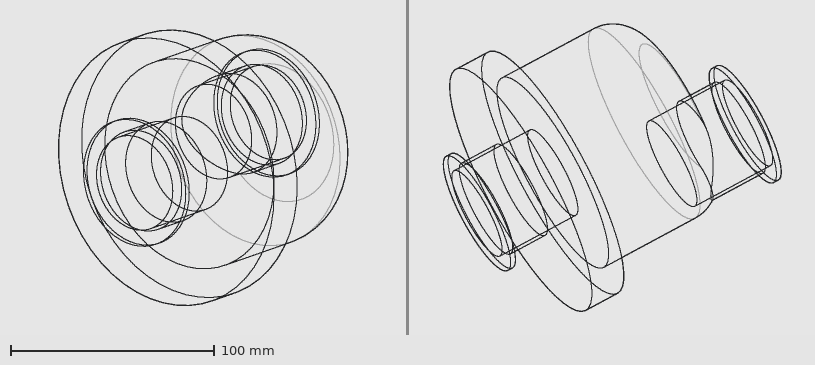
import cadquery as cq

total_length = 140.0
flange_diameter = 135.0
flange_thickness = 18.5
body_diameter = 106.0
body_length = 70.8
dome_radius = 18.2
rear_port_offset = -26.2

tube_diameter = 50.8
ferrule_diameter = 64.0
bore_diameter = 47.7
rim_thickness = 2.8
cone_length = 2.4
front_port_length = 25.2

flange_back = front_port_length + flange_thickness
body_back = flange_back + body_length
dome_start = body_back - dome_radius
rear_port_length = total_length - dome_start
front_bore_depth = flange_back
rear_bore_depth = rear_port_length


def cylinder(diameter, start, length, x=0.0):
    """Solid cylinder along +Y from the given start."""
    return cq.Workplane("XZ", origin=(x, start, 0)).circle(diameter / 2).extrude(-length)


def port(length):
    """Tube with a tapered ferrule, its end face at Y = 0 and its tube toward +Y."""
    tube_radius = tube_diameter / 2
    ferrule_radius = ferrule_diameter / 2
    return (
        cq.Workplane("XY")
        .lineTo(ferrule_radius, 0)
        .lineTo(ferrule_radius, rim_thickness)
        .lineTo(tube_radius, rim_thickness + cone_length)
        .lineTo(tube_radius, length)
        .lineTo(0, length)
        .close()
        .revolve(360, (0, 0, 0), (0, 1, 0))
    )


flange = cylinder(flange_diameter, front_port_length, flange_thickness)
body = cylinder(body_diameter, flange_back, body_length).faces(">Y").edges().fillet(dome_radius)

front_port = port(front_port_length)
rear_port = port(rear_port_length).mirror("XZ").translate((rear_port_offset, total_length, 0))

front_bore = cylinder(bore_diameter, 0, front_bore_depth)
rear_bore = cylinder(bore_diameter, total_length - rear_bore_depth, rear_bore_depth, rear_port_offset)

result = flange.union(body).union(front_port).union(rear_port).cut(front_bore).cut(rear_bore)